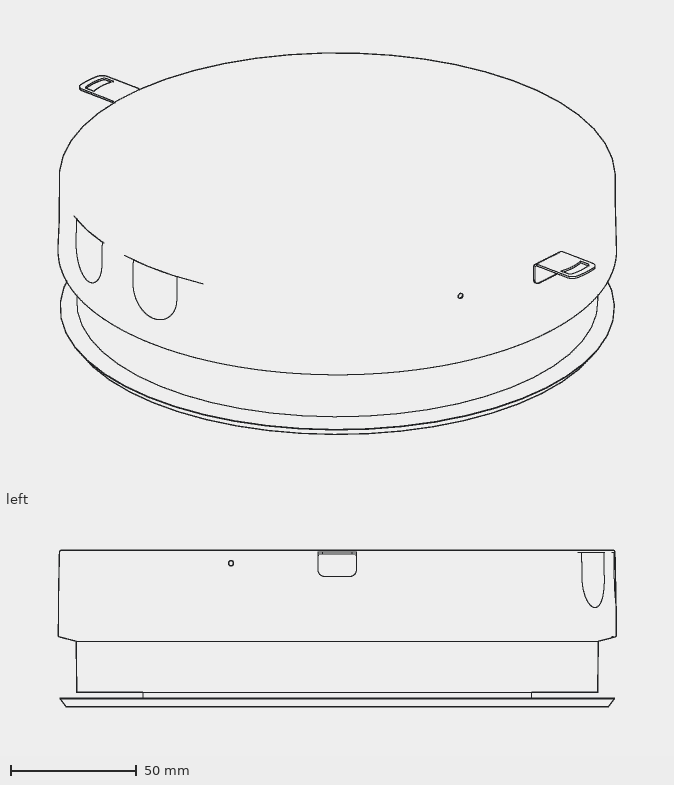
import cadquery as cq
import math

TOTAL_HEIGHT = 62.2
TRIM_THICKNESS = 3.5
DRUM_BOTTOM = 5.8
DRUM_TOP = 26.0
RIM_BOTTOM = 27.8

RIM_DIAMETER = 221.9
RIM_RADIUS = RIM_DIAMETER / 2
DRUM_RADIUS = 103.7
SPACER_RADIUS = 77.2
TRIM_RADIUS = 110.0
TRIM_CHAMFER = 2.4
TRIM_LIP = 0.3

CAP_DRAFT_ANGLE = 1.0
DRUM_DRAFT_ANGLE = 0.8
EDGE_FILLET = 1.0
FEATURE_PITCH = 22.5

KNOCKOUT_WIDTH = 23.0
KNOCKOUT_BOTTOM = 39.5
KNOCKOUT_DEPTH = 1.5
KNOCKOUT_ANGLES = [-90, -90 - FEATURE_PITCH]

PILOT_DIAMETER = 2.0
PILOT_DEPTH = 0.5
PILOT_HEIGHT = 57.0
PILOT_ANGLES = [180 - FEATURE_PITCH, -FEATURE_PITCH]

CLIP_REACH = 131.3
CLIP_WIDTH = 15.2
CLIP_SHEET = 0.8
CLIP_TOP = 61.5
CLIP_LEG_INSIDE = 110.0
CLIP_LEG_BOTTOM = 51.7
CLIP_LEG_CORNER = 2.5
CLIP_BEND_RADIUS = 2.0
CLIP_END_CORNER = 3.2
CLIP_END_BULGE = 0.8
CLIP_SLOT_OUTER = 128.6
CLIP_SLOT_INNER = 123.1
CLIP_SLOT_WIDTH = 11.8
CLIP_SLOT_CORNER = 1.3
CLIP_ANGLES = [0, 180]

CAP_SLOPE = math.tan(math.radians(CAP_DRAFT_ANGLE))
DRUM_SLOPE = math.tan(math.radians(DRUM_DRAFT_ANGLE))


def turned(solid, angle):
    """Turn a body about the lamp axis."""
    return solid.rotate((0, 0, 0), (0, 0, 1), angle)


def housing_blank():
    """Drafted cap with a rim, stepping in to a drafted drum below it."""
    cap_top_radius = RIM_RADIUS - (TOTAL_HEIGHT - RIM_BOTTOM) * CAP_SLOPE
    drum_bottom_radius = DRUM_RADIUS - (DRUM_TOP - DRUM_BOTTOM) * DRUM_SLOPE
    profile = [
        (0, DRUM_BOTTOM),
        (drum_bottom_radius, DRUM_BOTTOM),
        (DRUM_RADIUS, DRUM_TOP),
        (RIM_RADIUS, RIM_BOTTOM),
        (cap_top_radius, TOTAL_HEIGHT),
        (0, TOTAL_HEIGHT),
    ]
    blank = cq.Workplane("XZ").polyline(profile).close().revolve(360, (0, 0), (0, 1))
    rim_edge = blank.edges(cq.selectors.RadiusNthSelector(-1))
    blank = rim_edge.fillet(EDGE_FILLET)
    return blank.faces(">Z").edges().fillet(EDGE_FILLET)


def knockout_prism():
    """U-shaped prism on the +X side, open toward the top of the cap."""
    half_width = KNOCKOUT_WIDTH / 2
    arc_height = KNOCKOUT_BOTTOM + half_width
    top = TOTAL_HEIGHT - EDGE_FILLET
    return (
        cq.Workplane("YZ")
        .moveTo(-half_width, top)
        .lineTo(-half_width, arc_height)
        .threePointArc((0, KNOCKOUT_BOTTOM), (half_width, arc_height))
        .lineTo(half_width, top)
        .close()
        .extrude(RIM_RADIUS)
    )


def make_knockout(blank, angle):
    """Plug flush with the drafted wall of the cap."""
    core = cq.Workplane("XY").circle(RIM_RADIUS - KNOCKOUT_DEPTH).extrude(TOTAL_HEIGHT)
    return blank.intersect(turned(knockout_prism(), angle)).cut(core)


def make_pilot(angle):
    """Cutter for one shallow radial hole."""
    wall_radius = RIM_RADIUS - (PILOT_HEIGHT - RIM_BOTTOM) * CAP_SLOPE
    cutter = (
        cq.Workplane("YZ", origin=(wall_radius - PILOT_DEPTH, 0, PILOT_HEIGHT))
        .circle(PILOT_DIAMETER / 2)
        .extrude(2 * PILOT_DEPTH)
    )
    return turned(cutter, angle)


def arc_ended_outline(plane, inner, outer, width, inner_bulge):
    """Straight-sided outline whose outer end, and optionally inner end, bows outward along X."""
    half_width = width / 2
    outline = plane.moveTo(inner, -half_width).lineTo(outer - CLIP_END_BULGE, -half_width)
    outline = outline.threePointArc((outer, 0), (outer - CLIP_END_BULGE, half_width))
    outline = outline.lineTo(inner, half_width)
    if inner_bulge:
        outline = outline.threePointArc((inner + inner_bulge, 0), (inner, -half_width))
    return outline.close()


def make_clip(angle):
    """Slotted flat tongue bent down into a leg that lies against the cap."""
    leg_outside = CLIP_LEG_INSIDE + CLIP_SHEET
    tongue_underside = CLIP_TOP - CLIP_SHEET
    bend_x = CLIP_LEG_INSIDE + CLIP_BEND_RADIUS
    bend_z = CLIP_TOP - CLIP_BEND_RADIUS
    clip = (
        cq.Workplane("XZ")
        .moveTo(CLIP_LEG_INSIDE, CLIP_LEG_BOTTOM)
        .lineTo(leg_outside, CLIP_LEG_BOTTOM)
        .lineTo(leg_outside, bend_z)
        .radiusArc((bend_x, tongue_underside), CLIP_BEND_RADIUS - CLIP_SHEET)
        .lineTo(CLIP_REACH, tongue_underside)
        .lineTo(CLIP_REACH, CLIP_TOP)
        .lineTo(bend_x, CLIP_TOP)
        .radiusArc((CLIP_LEG_INSIDE, bend_z), -CLIP_BEND_RADIUS)
        .close()
        .extrude(CLIP_WIDTH / 2, both=True)
    )
    clip = clip.faces("<Z").edges("|X").fillet(CLIP_LEG_CORNER)

    footprint = arc_ended_outline(
        cq.Workplane("XY"), CLIP_LEG_INSIDE, CLIP_REACH, CLIP_WIDTH, 0
    ).extrude(TOTAL_HEIGHT)
    clip = clip.intersect(footprint.edges("|Z").edges(">X").fillet(CLIP_END_CORNER))

    slot = arc_ended_outline(
        cq.Workplane("XY"), CLIP_SLOT_INNER, CLIP_SLOT_OUTER, CLIP_SLOT_WIDTH, CLIP_END_BULGE
    ).extrude(TOTAL_HEIGHT)
    clip = clip.cut(slot.edges("|Z").edges(">X").fillet(CLIP_SLOT_CORNER))
    return turned(clip, angle)


def make_trim():
    """Round trim plate, chamfered inward toward its underside."""
    plate = cq.Workplane("XY").circle(TRIM_RADIUS).extrude(TRIM_THICKNESS)
    return plate.faces("<Z").edges().chamfer(TRIM_THICKNESS - TRIM_LIP, TRIM_CHAMFER)


def make_spacer():
    """Disc that holds the trim plate clear of the drum."""
    base = cq.Workplane("XY", origin=(0, 0, TRIM_THICKNESS))
    return base.circle(SPACER_RADIUS).extrude(DRUM_BOTTOM - TRIM_THICKNESS)


blank = housing_blank()
knockouts = [make_knockout(blank, angle) for angle in KNOCKOUT_ANGLES]
clips = [make_clip(angle) for angle in CLIP_ANGLES]

housing = blank
for angle in PILOT_ANGLES:
    housing = housing.cut(make_pilot(angle))
for fitted_body in knockouts + clips:
    housing = housing.cut(fitted_body)

trim = make_trim()
spacer = make_spacer()

result = cq.Compound.makeCompound(
    [housing.val(), trim.val(), spacer.val()]
    + [knockout.val() for knockout in knockouts]
    + [clip.val() for clip in clips]
)